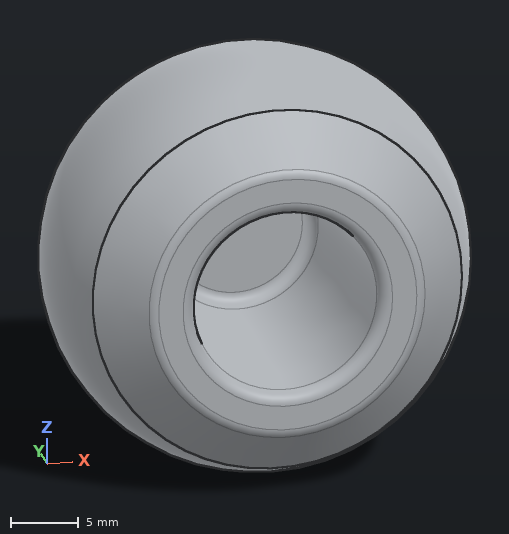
import cadquery as cq
import math

ball_radius = 16.0
seam_radius = 13.95
face_distance = 11.45
face_radius = 10.15
edge_radius = 1.0

mouth_radius = 6.98
floor_radius = 6.0
hole_depth = 18.0

seam_distance = math.sqrt(ball_radius**2 - seam_radius**2)
floor_y = hole_depth - face_distance


def ball_body():
    """Revolve the ball, its cone and the flat mouth, then round the outer rim."""
    profile = (
        cq.Workplane("XY")
        .moveTo(0, -face_distance)
        .lineTo(face_radius, -face_distance)
        .lineTo(seam_radius, -seam_distance)
        .threePointArc((ball_radius, 0), (0, ball_radius))
        .close()
    )
    body = profile.revolve(360, (0, 0, 0), (0, 1, 0))
    return body.faces("<Y").edges().fillet(edge_radius)


def tapered_hole():
    """Conical plug with a rounded floor edge."""
    profile = (
        cq.Workplane("XY")
        .moveTo(0, -face_distance)
        .lineTo(mouth_radius, -face_distance)
        .lineTo(floor_radius, floor_y)
        .lineTo(0, floor_y)
        .close()
    )
    plug = profile.revolve(360, (0, 0, 0), (0, 1, 0))
    return plug.faces(">Y").edges().fillet(edge_radius)


result = ball_body().cut(tapered_hole())
mouth_rim = cq.selectors.RadiusNthSelector(0)
result = result.faces("<Y").edges(mouth_rim).fillet(edge_radius)